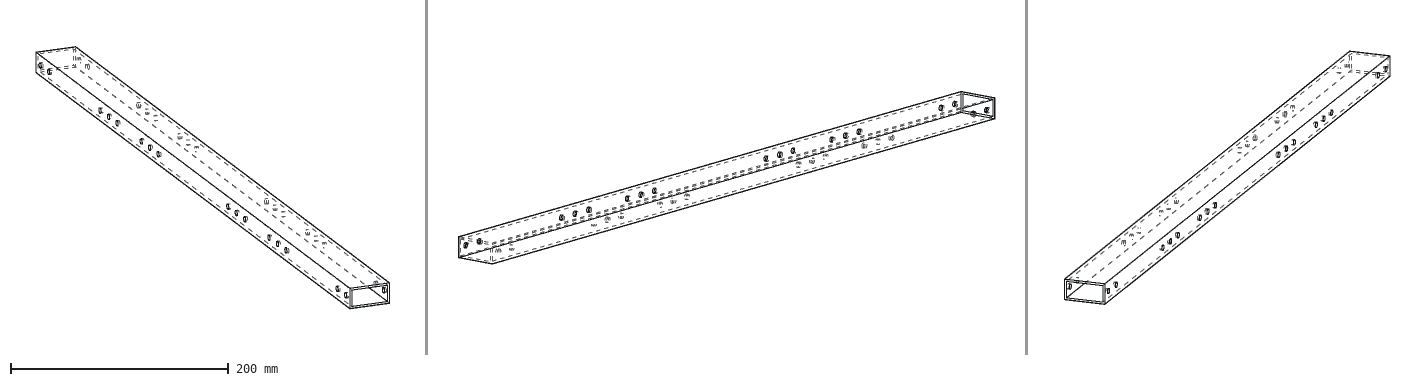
import cadquery as cq

length = 735.0
width = 40.0
height = 20.0
wall = 2.0

hole_diameter = 5.0
hole_pitch = 20.0
end_margin = hole_pitch / 2
group_centers = (101.5, 198.0)


def make_tube():
    outer = cq.Workplane("XY").box(length, width, height)
    bore = cq.Workplane("XY").box(length, width - 2 * wall, height - 2 * wall)
    return outer.cut(bore)


def hole_positions():
    """X distances of the holes from the middle of the tube, for one half."""
    outermost = length / 2 - end_margin
    positions = [outermost, outermost - hole_pitch]
    for center in group_centers:
        positions += [center - hole_pitch, center, center + hole_pitch]
    return positions


def make_cross_holes():
    points = [(side * x, 0) for x in hole_positions() for side in (-1, 1)]
    plane = cq.Workplane("XZ").pushPoints(points)
    return plane.circle(hole_diameter / 2).extrude(width / 2, both=True)


result = make_tube().cut(make_cross_holes())